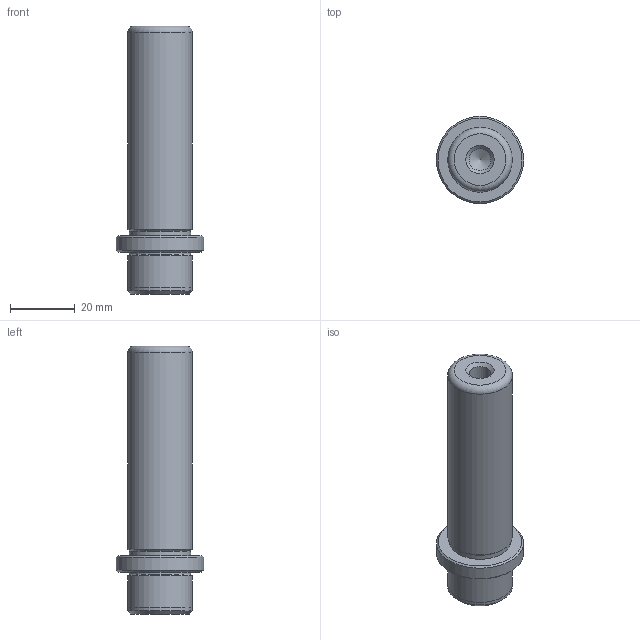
import cadquery as cq
import math

shaft_radius = 20.0 / 2
collar_radius = 27.0 / 2
total_height = 83.0
collar_bottom = 13.0
collar_top = 18.0
collar_chamfer = 0.5
top_fillet = 2.0

groove_radius = 19.0 / 2
groove_flank_height = 0.5
upper_groove_width = 2.0
lower_groove_width = 1.2

pilot_radius = 19.98 / 2
pilot_height = 2.0
pilot_chamfer = 1.0

hole_radius = 6.8 / 2
hole_depth = 20.0
countersink_radius = 8.8 / 2
drill_point_angle = 118.0


def make_body():
    """Revolve the stepped outer profile about the Z axis."""
    shaft_bottom = collar_top + upper_groove_width
    spigot_top = collar_bottom - lower_groove_width
    fillet_start = total_height - top_fillet
    fillet_mid_offset = top_fillet * (1 - math.sqrt(0.5))

    profile = (
        cq.Workplane("XZ")
        .lineTo(pilot_radius - pilot_chamfer, 0)
        .lineTo(pilot_radius, pilot_chamfer)
        .lineTo(pilot_radius, pilot_height)
        .lineTo(shaft_radius, pilot_height)
        .lineTo(shaft_radius, spigot_top)
        .lineTo(groove_radius, spigot_top + groove_flank_height)
        .lineTo(groove_radius, collar_bottom)
        .lineTo(collar_radius - collar_chamfer, collar_bottom)
        .lineTo(collar_radius, collar_bottom + collar_chamfer)
        .lineTo(collar_radius, collar_top - collar_chamfer)
        .lineTo(collar_radius - collar_chamfer, collar_top)
        .lineTo(groove_radius, collar_top)
        .lineTo(groove_radius, shaft_bottom - groove_flank_height)
        .lineTo(shaft_radius, shaft_bottom)
        .lineTo(shaft_radius, fillet_start)
        .threePointArc(
            (shaft_radius - fillet_mid_offset, total_height - fillet_mid_offset),
            (shaft_radius - top_fillet, total_height),
        )
        .lineTo(0, total_height)
        .close()
    )
    return profile.revolve(360, (0, 0), (0, 1))


def make_hole():
    """Revolve the drilled hole: 45 degree countersink, bore and conical tip."""
    countersink_depth = countersink_radius - hole_radius
    bore_end = total_height - hole_depth
    tip_height = hole_radius / math.tan(math.radians(drill_point_angle / 2))

    profile = (
        cq.Workplane("XZ")
        .moveTo(0, total_height)
        .lineTo(countersink_radius, total_height)
        .lineTo(hole_radius, total_height - countersink_depth)
        .lineTo(hole_radius, bore_end)
        .lineTo(0, bore_end - tip_height)
        .close()
    )
    return profile.revolve(360, (0, 0), (0, 1))


result = make_body().cut(make_hole())